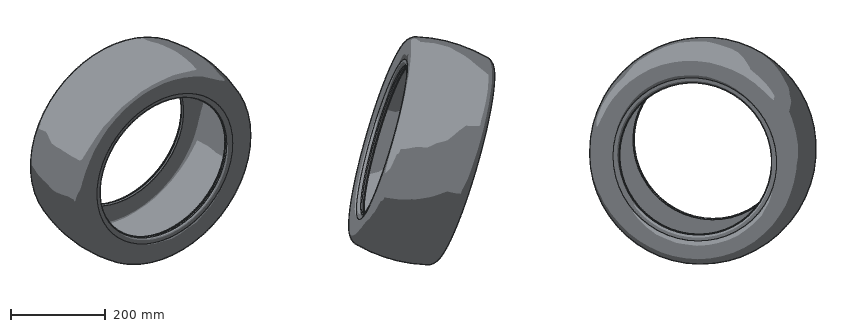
import cadquery as cq


outer_radius = 237.0
half_width = 93.15
shoulder_x = 75.5
shoulder_radius = 228.0
shoulder_mid_x = 88.0
shoulder_mid_radius = 221.5
widest_radius = 210.0

bead_x = 87.5
bead_outer_radius = 175.5
bead_face_radius = 169.5
bead_round = 5.5
bore_radius = 162.5
crest_outer_x = 79.5
crest_inner_x = 78.0
bead_inner_x = 76.0
bead_inner_radius = 165.0

wall = 11.0
shoulder_wall_step = 0.7 * wall
cavity_crown_radius = outer_radius - wall
cavity_shoulder_radius = shoulder_radius - wall
cavity_half_width = half_width - wall
cavity_mid_x = shoulder_mid_x - shoulder_wall_step
cavity_mid_radius = shoulder_mid_radius - shoulder_wall_step


def side_edges():
    """Open chain of the right side, from the tread shoulder round to the cavity shoulder."""
    sidewall = [
        (shoulder_mid_x, shoulder_mid_radius),
        (half_width, widest_radius),
        (bead_x, bead_outer_radius),
    ]
    cavity_wall = [
        (cavity_half_width, widest_radius),
        (cavity_mid_x, cavity_mid_radius),
        (shoulder_x, cavity_shoulder_radius),
    ]
    inward = (0, -1)
    outward = (0, 1)
    chain = (
        cq.Workplane("XY")
        .moveTo(shoulder_x, shoulder_radius)
        .spline(sidewall, tangents=[None, None, inward, None], includeCurrent=True)
        .lineTo(bead_x, bead_face_radius)
        .radiusArc((bead_x - bead_round, bead_face_radius - bead_round), bead_round)
        .lineTo(crest_outer_x, bore_radius)
        .lineTo(crest_inner_x, bore_radius)
        .radiusArc((bead_inner_x, bead_inner_radius), bead_inner_radius - bore_radius)
        .spline(cavity_wall, tangents=[None, outward, None, None], includeCurrent=True)
        .wire()
        .val()
    )
    return chain.Edges()


def crown_arc(crown_radius, edge_radius):
    """Arc across the tread from shoulder to shoulder."""
    return cq.Edge.makeThreePointArc(
        cq.Vector(-shoulder_x, edge_radius),
        cq.Vector(0, crown_radius),
        cq.Vector(shoulder_x, edge_radius),
    )


right_side = side_edges()
left_side = [edge.mirror("YZ") for edge in right_side]
tread = crown_arc(outer_radius, shoulder_radius)
cavity_crown = crown_arc(cavity_crown_radius, cavity_shoulder_radius)
section = cq.Wire.combine([tread, *right_side, cavity_crown, *left_side])[0]

result = cq.Workplane("XY").add(section).toPending().revolve(360, (0, 0, 0), (1, 0, 0))